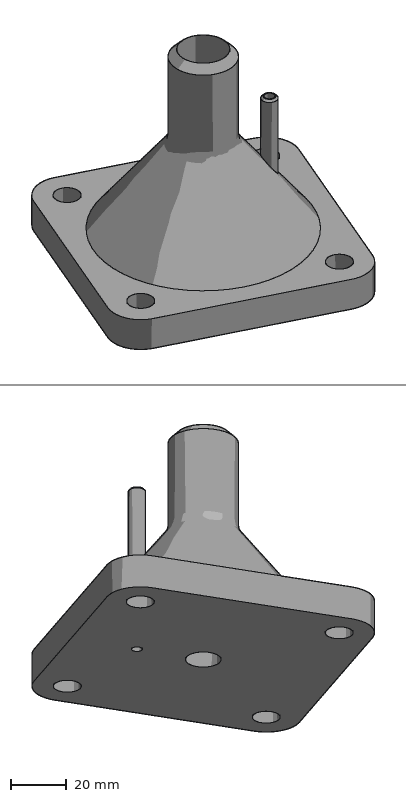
import cadquery as cq

flange_width = 101.6
flange_thickness = 12.7
corner_radius = 12.7
bolt_hole_diameter = 10.1
bolt_spacing = 76.2

cone_base_diameter = 84.3
cone_top_height = 50.8
pipe_diameter = 25.4
overall_height = 88.9
neck_fillet = 6.4

socket_diameter = 19.1
socket_depth = overall_height - cone_top_height
through_diameter = 12.8

tube_diameter = 6.3
tube_bore_diameter = 3.9
tube_offset_y = 25.4
tube_top_height = 63.4
tube_chamfer = 0.8


def make_flange():
    """Square plate with rounded corners and a bolt hole near each corner."""
    plate = (
        cq.Workplane("XY")
        .rect(flange_width, flange_width)
        .extrude(flange_thickness)
        .edges("|Z")
        .fillet(corner_radius)
    )
    return (
        plate.faces(">Z")
        .workplane()
        .rect(bolt_spacing, bolt_spacing, forConstruction=True)
        .vertices()
        .hole(bolt_hole_diameter)
    )


def make_cone_and_pipe():
    """Revolved cone running into the pipe, with a blended neck and a bevelled rim."""
    pipe_radius = pipe_diameter / 2
    rim_radius = socket_diameter / 2
    bevel = pipe_radius - rim_radius
    body = (
        cq.Workplane("XZ")
        .lineTo(0, overall_height)
        .lineTo(rim_radius, overall_height)
        .lineTo(pipe_radius, overall_height - bevel)
        .lineTo(pipe_radius, cone_top_height)
        .lineTo(cone_base_diameter / 2, flange_thickness)
        .lineTo(cone_base_diameter / 2, 0)
        .close()
        .revolve(360, (0, 0, 0), (0, 1, 0))
    )
    neck = cq.selectors.NearestToPointSelector((0, 0, cone_top_height))
    return body.edges("%CIRCLE").edges(neck).fillet(neck_fillet)


def make_side_tube():
    """Solid side tube with a bevelled top, sunk through the cone into the flange."""
    return (
        cq.Workplane("XY")
        .center(0, tube_offset_y)
        .circle(tube_diameter / 2)
        .extrude(tube_top_height)
        .faces(">Z")
        .chamfer(tube_chamfer)
    )


def vertical_bore(diameter, bottom, top, y=0):
    """Cylinder to cut away between two heights."""
    return (
        cq.Workplane("XY", origin=(0, y, bottom))
        .circle(diameter / 2)
        .extrude(top - bottom)
    )


body = make_flange().union(make_cone_and_pipe()).union(make_side_tube())

result = (
    body.cut(vertical_bore(through_diameter, 0, overall_height))
    .cut(vertical_bore(socket_diameter, overall_height - socket_depth, overall_height))
    .cut(vertical_bore(tube_bore_diameter, 0, tube_top_height, tube_offset_y))
)